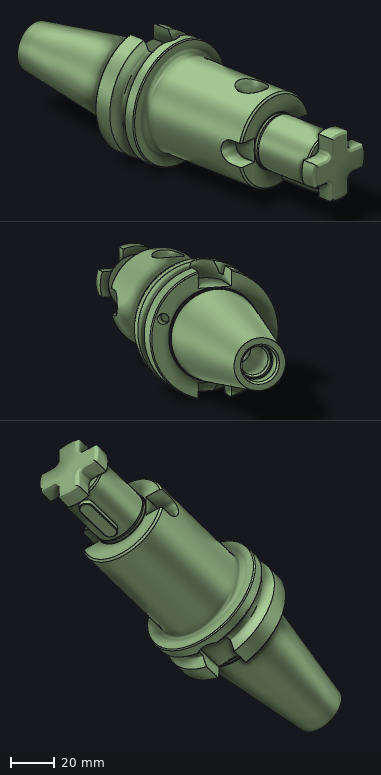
import cadquery as cq
import math

total_length = 194.4
shank_radius = 13.8
shank_end = 186.2

taper_length = 65.3
taper_end_radius = 22.2
taper_ratio = 7 / 24
taper_tip_radius = taper_end_radius - taper_length * taper_ratio / 2
undercut_depth = 0.4
undercut_slope = 0.4

flange_start = 67.5
flange_end = 92.1
flange_radius = 31.5
flange_chamfer = 0.5
groove_radius = 26.6
groove_fillet = 0.5
groove_floor_start = 79.7
groove_floor_end = 83.8
groove_flank = (flange_radius - groove_radius) * math.tan(math.radians(30))
flange_fillet = 2.7

body_radius = 24.0
body_end = 152.8
body_chamfer = 1.0
shank_undercut_length = 2.3
shank_undercut_slope = 1.2
lead_in_start = 181.0
lead_in_end = 185.3
lead_in_radius = 13.6
shank_chamfer = 0.4

bore_mouth_radius = 9.5
pilot_radius = 8.5
pilot_depth = 6.8
thread_mouth_radius = 8.0
thread_mouth_length = 1.7
thread_radius = 7.0
thread_depth = 35.0
screw_hole_radius = 5.2

keyway_width = 16.1
keyway_floor = 22.5
keyway_end = 88.6
body_slot_width = 12.2
body_slot_floor = 14.0
body_slot_start = 140.7
dimple_x = 137.8
dimple_radius = 8.7
dimple_height = 27.5
coolant_radius = 2.5
coolant_place = 26.8
coolant_angle = 20.0
coolant_tilt = 25.0
coolant_depth = 15.5

key_start = 158.5
key_length = 25.0
key_width = 7.0
key_height = 7.0
key_bottom = -16.3
key_chamfer = 0.4

head_radius = 17.3
lobe_width = 12.2
lobe_count = 4
lobe_fillet = 3.0
head_edge_radius = 1.7
corner_margin = 0.2
screw_tip = 145.8
screw_tip_chamfer = 1.2


def revolved(points):
    """Turn a closed outline of (x, radius) points about the X axis."""
    return cq.Workplane("XZ").polyline(points).close().revolve(360, (0, 0, 0), (1, 0, 0))


def holder_outside():
    """Taper, grooved flange, body and shank as one turned shape."""
    taper_relief_radius = taper_end_radius - undercut_depth
    shank_relief_radius = shank_radius - undercut_depth
    shank_relief_end = body_end + shank_undercut_length
    chamfer_radius = flange_radius - flange_chamfer
    fillet_middle = flange_fillet * (1 - math.sqrt(0.5))
    outline = (
        cq.Workplane("XZ")
        .moveTo(0, 0)
        .lineTo(0, taper_tip_radius)
        .lineTo(taper_length, taper_end_radius)
        .lineTo(taper_length + undercut_slope, taper_relief_radius)
        .lineTo(flange_start + undercut_depth, taper_relief_radius)
        .lineTo(flange_start + undercut_depth, taper_end_radius)
        .lineTo(flange_start, taper_end_radius + undercut_slope)
        .lineTo(flange_start, chamfer_radius)
        .lineTo(flange_start + flange_chamfer, flange_radius)
        .lineTo(groove_floor_start - groove_flank, flange_radius)
        .lineTo(groove_floor_start, groove_radius)
        .lineTo(groove_floor_end, groove_radius)
        .lineTo(groove_floor_end + groove_flank, flange_radius)
        .lineTo(flange_end - flange_chamfer, flange_radius)
        .lineTo(flange_end, chamfer_radius)
        .lineTo(flange_end, body_radius + flange_fillet)
        .threePointArc(
            (flange_end + fillet_middle, body_radius + fillet_middle),
            (flange_end + flange_fillet, body_radius),
        )
        .lineTo(body_end - body_chamfer, body_radius)
        .lineTo(body_end, body_radius - body_chamfer)
        .lineTo(body_end, shank_radius + undercut_slope)
        .lineTo(body_end - undercut_depth, shank_radius)
        .lineTo(body_end - undercut_depth, shank_relief_radius)
        .lineTo(shank_relief_end - shank_undercut_slope, shank_relief_radius)
        .lineTo(shank_relief_end, shank_radius)
        .lineTo(lead_in_start, shank_radius)
        .lineTo(lead_in_end, lead_in_radius)
        .lineTo(shank_end, lead_in_radius - shank_chamfer)
        .lineTo(shank_end, 0)
        .close()
    )
    turned = outline.revolve(360, (0, 0, 0), (1, 0, 0))
    groove_corners = cq.selectors.BoxSelector(
        (groove_floor_start - groove_fillet, -groove_fillet, -groove_fillet),
        (groove_floor_end + groove_fillet, groove_fillet, groove_fillet),
    )
    return turned.edges(groove_corners).fillet(groove_fillet)


def bore():
    """Stepped bore through the holder: mouth, pilot, thread core and screw hole."""
    mouth_length = bore_mouth_radius - pilot_radius
    thread_start = pilot_depth + thread_mouth_length
    thread_chamfer = thread_mouth_radius - thread_radius
    thread_step = thread_radius - screw_hole_radius
    return revolved([
        (0, 0),
        (0, bore_mouth_radius),
        (mouth_length, pilot_radius),
        (pilot_depth, pilot_radius),
        (pilot_depth, thread_mouth_radius),
        (thread_start, thread_mouth_radius),
        (thread_start + thread_chamfer, thread_radius),
        (thread_depth, thread_radius),
        (thread_depth + thread_step, screw_hole_radius),
        (shank_end, screw_hole_radius),
        (shank_end, 0),
    ])


def flange_keyway():
    """Round-ended cutter for the keyway on the +Z side of the flange."""
    end_radius = keyway_width / 2
    height = flange_radius - keyway_floor
    straight_end = keyway_end - end_radius
    plane = cq.Workplane("XY").workplane(offset=keyway_floor)
    straight_length = straight_end - flange_start
    straight = (
        plane.center(flange_start + straight_length / 2, 0)
        .rect(straight_length, keyway_width)
        .extrude(height)
    )
    rounded = plane.center(straight_end, 0).circle(end_radius).extrude(height)
    return straight.union(rounded)


def body_slot():
    """Round-ended cutter for the slot on the -Y side of the body end."""
    end_radius = body_slot_width / 2
    straight_start = body_slot_start + end_radius
    straight_length = body_end - straight_start
    plane = cq.Workplane("XZ").workplane(offset=body_slot_floor)
    depth = body_radius - body_slot_floor
    straight = (
        plane.center(straight_start + straight_length / 2, 0)
        .rect(straight_length, body_slot_width)
        .extrude(depth)
    )
    rounded = plane.center(straight_start, 0).circle(end_radius).extrude(depth)
    return straight.union(rounded)


def dimple():
    """Spherical cutter for the hollow on top of the body."""
    return cq.Workplane("XY").sphere(dimple_radius).translate((dimple_x, 0, dimple_height))


def coolant_hole():
    """Cutter for a coolant hole that leans from the flange face towards the axis."""
    tilt = math.radians(coolant_tilt)
    direction = cq.Vector(math.cos(tilt), -math.sin(tilt), 0)
    mouth = cq.Vector(flange_start, coolant_place, 0)
    start = mouth - direction * coolant_radius
    hole = cq.Solid.makeCylinder(coolant_radius, coolant_depth + coolant_radius, start, direction)
    return cq.Workplane(hole).rotate((0, 0, 0), (1, 0, 0), coolant_angle)


def make_holder(key):
    holder = holder_outside().cut(bore()).cut(dimple()).cut(key)
    for half_turn in (0, 180):
        for cutter in (flange_keyway(), body_slot(), coolant_hole()):
            holder = holder.cut(cutter.rotate((0, 0, 0), (1, 0, 0), half_turn))
    return holder


def make_key():
    """Round-ended drive key set into the -Z side of the shank."""
    return (
        cq.Workplane("XY")
        .workplane(offset=key_bottom)
        .center(key_start + key_length / 2, 0)
        .slot2D(key_length, key_width)
        .extrude(key_height)
        .faces("<Z")
        .chamfer(key_chamfer)
    )


def make_screw():
    """Clamping screw with a four-lobed head."""
    head_length = total_length - shank_end
    plane = cq.Workplane("YZ").workplane(offset=shank_end)
    lobes = plane.rect(lobe_width, lobe_width).extrude(head_length)
    lobe = (
        plane.center(0, head_radius / 2)
        .rect(lobe_width, head_radius)
        .extrude(head_length)
    )
    for number in range(lobe_count):
        lobes = lobes.union(lobe.rotate((0, 0, 0), (1, 0, 0), number * 360 / lobe_count))
    half_width = lobe_width / 2 + corner_margin
    corners = cq.selectors.BoxSelector(
        (shank_end, -half_width, -half_width), (total_length, half_width, half_width)
    )
    lobes = lobes.edges("|X").edges(corners).fillet(lobe_fillet)
    envelope = revolved([
        (shank_end, 0),
        (shank_end, head_radius),
        (total_length, head_radius),
        (total_length, 0),
    ])
    stem = revolved([
        (screw_tip, 0),
        (screw_tip, screw_hole_radius - screw_tip_chamfer),
        (screw_tip + screw_tip_chamfer, screw_hole_radius),
        (shank_end, screw_hole_radius),
        (shank_end, 0),
    ])
    head = lobes.intersect(envelope).faces(">X").edges().fillet(head_edge_radius)
    return head.union(stem)


key = make_key()
holder = make_holder(key)
screw = make_screw()

result = cq.Compound.makeCompound([holder.val(), key.val(), screw.val()])